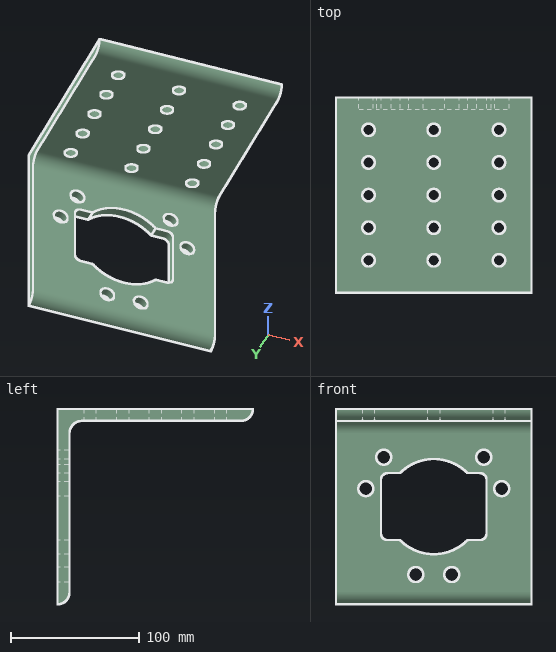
import cadquery as cq
import math

leg = 152.4
width = 152.4
thickness = 9.525
root_radius = 9.525
toe_radius = 9.525

grid_hole_diameter = 9.53
grid_columns = 3
grid_rows = 5
column_pitch = 50.8
row_pitch = 25.4

bolt_hole_diameter = 11.5
bolt_circle_radius = 54.75
side_bolt_angle = 14.8
upper_bolt_angle = 44.65
lower_bolt_angle = 270 + side_bolt_angle
bolt_angles = [side_bolt_angle, upper_bolt_angle, lower_bolt_angle]
window_width = 82.0
window_height = 52.0
window_corner_radius = 5.0
bore_radius = 37.0

half_leg = leg / 2
inner_face = half_leg - thickness


def angle_section():
    """Equal angle with its heel at +Y, +Z, a filleted root and rounded toes."""
    profile = (
        cq.Workplane("YZ")
        .moveTo(half_leg, half_leg)
        .lineTo(-half_leg, half_leg)
        .radiusArc((-half_leg + toe_radius, inner_face), -toe_radius)
        .lineTo(inner_face - root_radius, inner_face)
        .radiusArc((inner_face, inner_face - root_radius), root_radius)
        .lineTo(inner_face, -half_leg + toe_radius)
        .radiusArc((half_leg, -half_leg), -toe_radius)
        .close()
    )
    return profile.extrude(width / 2, both=True)


def grid_holes():
    """Cutters for the hole grid in the horizontal leg."""
    return (
        cq.Workplane("XY", origin=(0, 0, inner_face))
        .rarray(column_pitch, row_pitch, grid_columns, grid_rows)
        .circle(grid_hole_diameter / 2)
        .extrude(thickness)
    )


def vertical_leg_plane():
    """Outer face of the vertical leg, with its normal pointing into the leg (-Y)."""
    return cq.Workplane("XZ", origin=(0, half_leg, 0))


def bolt_holes():
    """Cutters for the mirrored pairs of bolt holes around the window."""
    centres = []
    for angle in bolt_angles:
        x = bolt_circle_radius * math.cos(math.radians(angle))
        z = bolt_circle_radius * math.sin(math.radians(angle))
        centres += [(x, z), (-x, z)]
    return vertical_leg_plane().pushPoints(centres).circle(bolt_hole_diameter / 2).extrude(thickness)


def window():
    """Cutter for the rounded rectangle joined with a larger round bore."""
    rectangle = (
        vertical_leg_plane()
        .rect(window_width, window_height)
        .extrude(thickness)
        .edges("|Y")
        .fillet(window_corner_radius)
    )
    bore = vertical_leg_plane().circle(bore_radius).extrude(thickness)
    return rectangle.union(bore)


result = angle_section().cut(grid_holes()).cut(bolt_holes()).cut(window())